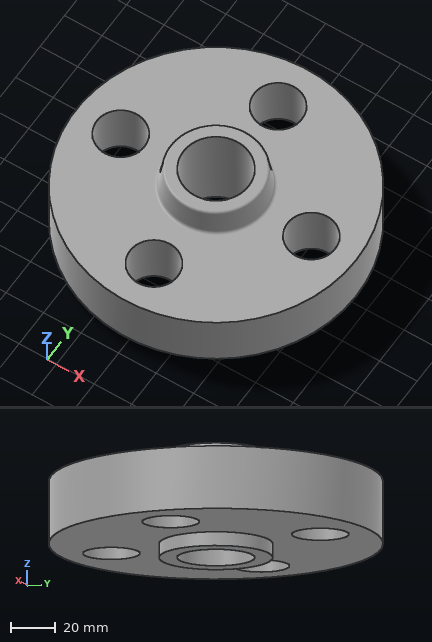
import cadquery as cq

disc_diameter = 149.3
disc_thickness = 28.5

spigot_diameter = 50.8
spigot_height = 6.3

hub_height = 12.7
hub_base_diameter = 52.1
hub_top_diameter = 47.8
hub_root_fillet = 1.6
hub_top_fillet = 1.3
bore_diameter = 34.6

bolt_count = 4
bolt_circle_diameter = 101.5
bolt_hole_diameter = 25.4

disc_top = spigot_height + disc_thickness
total_height = disc_top + hub_height


def make_body():
    """Revolve spigot, disc and tapered hub as one profile."""
    profile = (
        cq.Workplane("XZ")
        .polyline([
            (0, 0),
            (spigot_diameter / 2, 0),
            (spigot_diameter / 2, spigot_height),
            (disc_diameter / 2, spigot_height),
            (disc_diameter / 2, disc_top),
            (hub_base_diameter / 2, disc_top),
            (hub_top_diameter / 2, total_height),
            (0, total_height),
        ])
        .close()
    )
    return profile.revolve(360, (0, 0, 0), (0, 1, 0))


def round_hub(body):
    """Round the rim of the hub and blend its root into the disc."""
    rounded = body.faces(">Z").edges().fillet(hub_top_fillet)
    root_box = cq.selectors.BoxSelector(
        (-hub_base_diameter, -hub_base_diameter, disc_top - hub_root_fillet),
        (hub_base_diameter, hub_base_diameter, disc_top + hub_root_fillet),
        boundingbox=True,
    )
    return rounded.edges("%CIRCLE").edges(root_box).fillet(hub_root_fillet)


def make_bore():
    """Central bore through the full height."""
    return cq.Workplane().circle(bore_diameter / 2).extrude(total_height)


def make_bolt_holes():
    """Bolt holes evenly spaced on the bolt circle."""
    return (
        cq.Workplane()
        .polarArray(bolt_circle_diameter / 2, 0, 360, bolt_count)
        .circle(bolt_hole_diameter / 2)
        .extrude(total_height)
    )


result = round_hub(make_body()).cut(make_bore()).cut(make_bolt_holes())